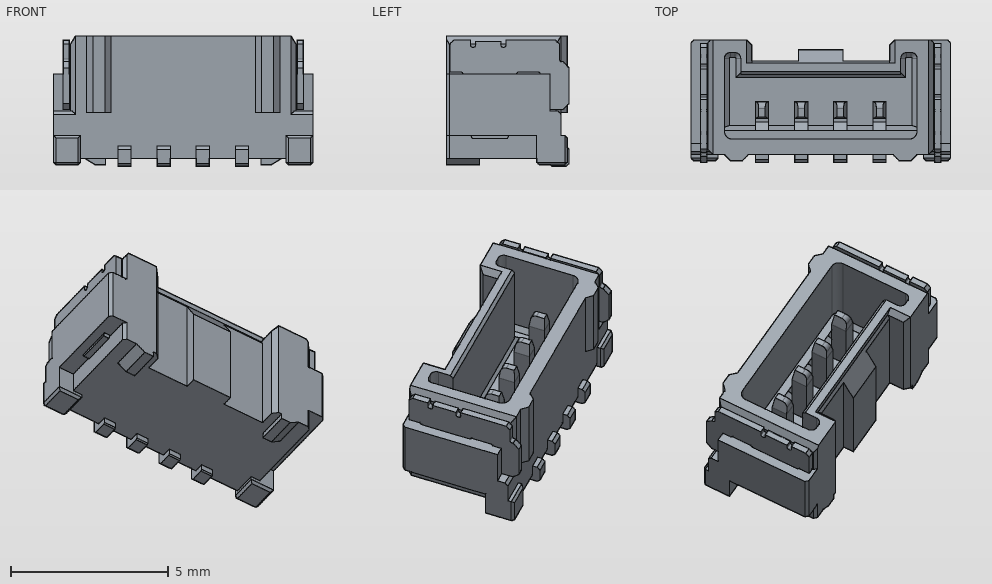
import cadquery as cq
import math


LENGTH = 8.25
DEPTH = 3.9
HEIGHT = 4.15
HALF_LENGTH = LENGTH / 2

BASE_Z = 0.25
FRONT_Y = 0.255
BODY_HALF = 3.59
REAR_CORNER = 0.1
FRONT_CORNER = 0.165
END_BEVEL_X = 0.165
END_BEVEL_Z = 0.26

WING_TOP = 2.945
WING_BOTTOM = 0.99
WING_FRONT_Y = 0.61
WING_STEP_Z = 1.76
WING_STEP_CHAMFER = 0.1

STANDOFF_Z = 0.05
PAD_WIDTH = 0.87
PAD_FRONT_Y = 0.06
PAD_REAR_Y = 1.03
PAD_CHAMFER = 0.08
FOOT_FRONT_Y = 2.85
FOOT_OUTER_X = 3.12
FOOT_TIP_X = 2.8
FOOT_INNER_X = 2.47

RIB_CENTER_X = 2.68
RIB_TIP_WIDTH = 0.38
RIB_DEPTH = 0.2
RIB_BOTTOM_Z = 1.71

GAP_HALF = 2.19
GAP_BEVEL = 0.165
GAP_BEVEL_Z = 0.21
REAR_WALL_TOP_Y = 3.16
REAR_WALL_Y = 3.23
LATCH_SLOPE = math.radians(60)
LATCH_HALF = 0.71
LATCH_Y = 3.59

CAVITY_HALF = 3.06
CAVITY_REAR_Y = 2.8
CAVITY_FRONT_Y = 0.74
CAVITY_CORNER = 0.26
FLOOR_Z = 0.99
FLOOR_CHAMFER = 0.16
REAR_CHAMFER = 0.1
LEDGE_Y = 1.02
LEDGE_HEIGHT = 0.42
SLOT_WIDTH = 0.52
SLOT_END_Y = 3.5
SLOT_CORNER = 0.19

PIN_COUNT = 4
PIN_PITCH = 1.245
PIN_WIDTH = 0.42
PIN_FRONT_Y = 1.4
PIN_REAR_Y = 1.94
PIN_TOP = 3.23
TIP_HEIGHT = 0.43
TIP_INSET_X = 0.11
TIP_INSET_Y = 0.05
TIP_RADIUS = 0.19
TAIL_HEIGHT = 0.64
TAIL_CHAMFER = 0.1
TAIL_REAR_Y = 0.585
TAIL_REAR_CHAMFER = 0.04
GUSSET_FLAT_Y = 1.295
GUSSET_DROP = 0.2

PLATE_THICKNESS = 0.21
PLATE_INNER_X = 3.61
PLATE_TOP = 4.02
PLATE_MID_TOP = 3.97
PLATE_REAR_Y = 3.79
PLATE_CORNER = 0.12
PLATE_FRONT_Y = 0.31
PLATE_HOOK_TOP = 3.33
PLATE_HOOK_Y = 0.2
PLATE_HOOK_CHAMFER = 0.2
PLATE_BOTTOM = 1.81
PLATE_NECK_RADIUS = 0.08
NOTCH_WIDTH = 0.16
NOTCH_REAR_Y = 3.05
NOTCH_FRONT_Y = 2.09
NOTCH_BOTTOM = 3.79
NOTCH_RADIUS = 0.07
WINDOW_HEIGHT = 0.06
WINDOW_TAPER = 0.06
WINDOWS = ((0.91, 1.68), (3.36, 3.88))
LEG_TIP_DROP = 0.1
LEG_TIP_FRONT_Y = 1.91
LEG_TIP_REAR_Y = 3.13
LEG_TIP_TAPER = 0.05

PICK_MARGIN = 0.01


def block(x0, x1, y0, y1, z0, z1):
    """Box between two opposite corners."""
    return cq.Workplane("XY").box(x1 - x0, y1 - y0, z1 - z0, centered=False).translate((x0, y0, z0))


def prism_x(points, x0, x1):
    """Outline of (y, z) points swept from x0 to x1."""
    return cq.Workplane("YZ").polyline(points).close().extrude(x1 - x0).translate((x0, 0, 0))


def prism_y(points, y0, y1):
    """Outline of (x, z) points swept from y0 to y1."""
    return cq.Workplane("XZ").polyline(points).close().extrude(y0 - y1).translate((0, y0, 0))


def prism_z(points, z0, z1):
    """Outline of (x, y) points swept from z0 to z1."""
    return cq.Workplane("XY").polyline(points).close().extrude(z1 - z0).translate((0, 0, z0))


def both_ends(shape):
    """The shape on the -X end together with its mirror image on the +X end."""
    return shape.union(shape.mirror("YZ"))


def make_body():
    """Tall body with chamfered upright corners and beveled top ends."""
    body = block(-BODY_HALF, BODY_HALF, FRONT_Y, DEPTH, BASE_Z, HEIGHT)
    body = body.edges("|Z and <Y").chamfer(FRONT_CORNER)
    body = body.edges("|Z and >Y").chamfer(REAR_CORNER)
    bevel = prism_y(
        [
            (-BODY_HALF, HEIGHT),
            (-BODY_HALF + END_BEVEL_X, HEIGHT),
            (-BODY_HALF, HEIGHT - END_BEVEL_Z),
        ],
        FRONT_Y,
        DEPTH,
    )
    return body.cut(both_ends(bevel))


def make_wing():
    """Side block of the -X end, with a low step in front."""
    inner_x = -BODY_HALF + FRONT_CORNER
    upper = block(-HALF_LENGTH, inner_x, WING_FRONT_Y, DEPTH, WING_BOTTOM, WING_TOP)
    upper = upper.edges("|Z and >Y and <X").chamfer(REAR_CORNER)
    lower = block(-HALF_LENGTH, inner_x, FRONT_Y, PAD_REAR_Y, BASE_Z, WING_STEP_Z)
    lower = lower.edges("|X and <Y and >Z").chamfer(WING_STEP_CHAMFER)
    return upper.union(lower)


def make_pad():
    """Front corner pad that stands on the board."""
    pad = block(
        -HALF_LENGTH, -HALF_LENGTH + PAD_WIDTH, PAD_FRONT_Y, PAD_REAR_Y, STANDOFF_Z, WING_BOTTOM
    )
    return pad.faces("<Y or <Z").edges().chamfer(PAD_CHAMFER)


def make_foot():
    """Rear foot with a slanted outer side."""
    outline = [
        (-FOOT_OUTER_X, BASE_Z),
        (-FOOT_TIP_X, STANDOFF_Z),
        (-FOOT_INNER_X, STANDOFF_Z),
        (-FOOT_INNER_X, BASE_Z),
    ]
    return prism_y(outline, FOOT_FRONT_Y, DEPTH)


def make_front_rib():
    """Upright rib with slanted sides on the front wall."""
    tip_half = RIB_TIP_WIDTH / 2
    base_half = tip_half + RIB_DEPTH
    outline = [
        (-RIB_CENTER_X - base_half, FRONT_Y),
        (-RIB_CENTER_X - tip_half, FRONT_Y - RIB_DEPTH),
        (-RIB_CENTER_X + tip_half, FRONT_Y - RIB_DEPTH),
        (-RIB_CENTER_X + base_half, FRONT_Y),
    ]
    return prism_z(outline, RIB_BOTTOM_Z, HEIGHT)


def make_rear_gap():
    """Space between the towers, with the bevels of the tower edges."""
    top_half = GAP_HALF + GAP_BEVEL
    gap = block(-GAP_HALF, GAP_HALF, REAR_WALL_TOP_Y, DEPTH, BASE_Z, HEIGHT)
    upright_bevel = prism_z(
        [
            (-top_half, DEPTH),
            (top_half, DEPTH),
            (GAP_HALF, DEPTH - GAP_BEVEL),
            (-GAP_HALF, DEPTH - GAP_BEVEL),
        ],
        BASE_Z,
        HEIGHT,
    )
    top_bevel = prism_y(
        [
            (-top_half, HEIGHT),
            (top_half, HEIGHT),
            (GAP_HALF, HEIGHT - GAP_BEVEL_Z),
            (-GAP_HALF, HEIGHT - GAP_BEVEL_Z),
        ],
        REAR_WALL_TOP_Y,
        DEPTH,
    )
    return gap.union(upright_bevel).union(top_bevel)


def make_wall_ramp(half_width, outer_y):
    """Thickening of the rear wall out to outer_y, under a steep slope."""
    slope_top = HEIGHT - GAP_BEVEL_Z
    slope_bottom = slope_top - (outer_y - REAR_WALL_TOP_Y) * math.tan(LATCH_SLOPE)
    outline = [
        (REAR_WALL_TOP_Y, slope_top),
        (outer_y, slope_bottom),
        (outer_y, BASE_Z),
        (REAR_WALL_TOP_Y, BASE_Z),
    ]
    return prism_x(outline, -half_width, half_width)


def make_cavity():
    """Space inside the housing, reaching into both towers."""
    ledge_z = FLOOR_Z + LEDGE_HEIGHT
    slot_inner_x = CAVITY_HALF - SLOT_WIDTH
    chamfer_start_y = CAVITY_REAR_Y - REAR_CHAMFER + FLOOR_CHAMFER

    space = block(-CAVITY_HALF, CAVITY_HALF, CAVITY_FRONT_Y, SLOT_END_Y, FLOOR_Z, HEIGHT)
    space = space.cut(block(-slot_inner_x, slot_inner_x, chamfer_start_y, DEPTH, FLOOR_Z, HEIGHT))
    space = space.edges("|Z and >Y").fillet(SLOT_CORNER)
    space = space.edges("|Z and <Y").fillet(CAVITY_CORNER)
    space = space.faces("<Z").edges().chamfer(FLOOR_CHAMFER)
    space = space.cut(block(-slot_inner_x, slot_inner_x, CAVITY_REAR_Y, DEPTH, FLOOR_Z, HEIGHT))

    rear_wall_bevel = prism_x(
        [
            (CAVITY_REAR_Y, HEIGHT),
            (CAVITY_REAR_Y + REAR_CHAMFER, HEIGHT),
            (CAVITY_REAR_Y, HEIGHT - REAR_CHAMFER),
        ],
        -slot_inner_x,
        slot_inner_x,
    )
    ledge = prism_x(
        [
            (CAVITY_FRONT_Y, FLOOR_Z),
            (LEDGE_Y + FLOOR_CHAMFER, FLOOR_Z),
            (LEDGE_Y, ledge_z),
            (CAVITY_FRONT_Y, ledge_z),
        ],
        -CAVITY_HALF,
        CAVITY_HALF,
    )
    return space.cut(ledge).union(rear_wall_bevel)


def make_contact(x):
    """Upright part of one pin, with its pointed tip and the gusset at its foot."""
    x0 = x - PIN_WIDTH / 2
    x1 = x + PIN_WIDTH / 2
    tip_z = PIN_TOP - TIP_HEIGHT
    ledge_z = FLOOR_Z + LEDGE_HEIGHT
    side_profile = prism_y(
        [
            (x0, BASE_Z),
            (x1, BASE_Z),
            (x1, tip_z),
            (x1 - TIP_INSET_X, PIN_TOP),
            (x0 + TIP_INSET_X, PIN_TOP),
            (x0, tip_z),
        ],
        PIN_FRONT_Y,
        PIN_REAR_Y,
    )
    end_profile = prism_x(
        [
            (PIN_FRONT_Y, BASE_Z),
            (PIN_REAR_Y, BASE_Z),
            (PIN_REAR_Y, tip_z),
            (PIN_REAR_Y - TIP_INSET_Y, PIN_TOP),
            (PIN_FRONT_Y + TIP_INSET_Y, PIN_TOP),
            (PIN_FRONT_Y, tip_z),
        ],
        x0,
        x1,
    )
    end_profile = end_profile.edges("|X and >Z").edges(">Y").fillet(TIP_RADIUS)
    gusset = prism_x(
        [
            (LEDGE_Y, BASE_Z),
            (PIN_FRONT_Y, BASE_Z),
            (PIN_FRONT_Y, ledge_z - GUSSET_DROP),
            (GUSSET_FLAT_Y, ledge_z - GUSSET_DROP),
            (LEDGE_Y, ledge_z),
        ],
        x0,
        x1,
    )
    return side_profile.intersect(end_profile).union(gusset)


def make_tail(x):
    """Solder tail of one pin, leaving the housing at the lower front."""
    x0 = x - PIN_WIDTH / 2
    x1 = x + PIN_WIDTH / 2
    tail = block(x0, x1, 0, TAIL_REAR_Y, 0, TAIL_HEIGHT)
    tail = tail.edges("|X and <Y").chamfer(TAIL_CHAMFER)
    return tail.edges("|X and >Y and <Z").chamfer(TAIL_REAR_CHAMFER)


def make_plate():
    """Hold-down plate of the -X end, set into the wing."""
    plate_x0 = -PLATE_INNER_X - PLATE_THICKNESS
    plate_x1 = -PLATE_INNER_X
    outline = [
        (PLATE_REAR_Y, WING_BOTTOM),
        (PLATE_REAR_Y, PLATE_TOP - PLATE_CORNER),
        (PLATE_REAR_Y - PLATE_CORNER, PLATE_TOP),
        (PLATE_FRONT_Y + PLATE_CORNER, PLATE_TOP),
        (PLATE_FRONT_Y, PLATE_TOP - PLATE_CORNER),
        (PLATE_FRONT_Y, PLATE_HOOK_TOP),
        (PLATE_HOOK_Y, PLATE_HOOK_TOP),
        (0, PLATE_HOOK_TOP - PLATE_HOOK_CHAMFER),
        (0, PLATE_BOTTOM + PLATE_HOOK_CHAMFER),
        (PLATE_HOOK_Y, PLATE_BOTTOM),
        (WING_FRONT_Y, PLATE_BOTTOM),
        (WING_FRONT_Y, WING_BOTTOM),
    ]
    plate = prism_x(outline, plate_x0, plate_x1)
    neck = cq.selectors.BoxSelector(
        (plate_x0, PLATE_FRONT_Y - PICK_MARGIN, PLATE_HOOK_TOP - PICK_MARGIN),
        (plate_x1, PLATE_FRONT_Y + PICK_MARGIN, PLATE_HOOK_TOP + PICK_MARGIN),
    )
    plate = plate.edges(neck).fillet(PLATE_NECK_RADIUS)

    half_notch = NOTCH_WIDTH / 2
    cuts = block(plate_x0, plate_x1, NOTCH_FRONT_Y, NOTCH_REAR_Y, PLATE_MID_TOP, PLATE_TOP)
    for y in (NOTCH_FRONT_Y, NOTCH_REAR_Y):
        notch = block(plate_x0, plate_x1, y - half_notch, y + half_notch, NOTCH_BOTTOM, HEIGHT)
        cuts = cuts.union(notch.edges("|X and <Z").fillet(NOTCH_RADIUS))
    for front_y, rear_y in WINDOWS:
        cuts = cuts.union(
            prism_x(
                [
                    (front_y, WING_TOP),
                    (rear_y, WING_TOP),
                    (rear_y - WINDOW_TAPER, WING_TOP + WINDOW_HEIGHT),
                    (front_y + WINDOW_TAPER, WING_TOP + WINDOW_HEIGHT),
                ],
                plate_x0,
                plate_x1,
            )
        )

    leg_tip = prism_x(
        [
            (LEG_TIP_FRONT_Y, WING_BOTTOM),
            (LEG_TIP_FRONT_Y + LEG_TIP_TAPER, WING_BOTTOM - LEG_TIP_DROP),
            (LEG_TIP_REAR_Y - LEG_TIP_TAPER, WING_BOTTOM - LEG_TIP_DROP),
            (LEG_TIP_REAR_Y, WING_BOTTOM),
        ],
        plate_x0,
        plate_x1,
    )
    return plate.cut(cuts).union(leg_tip)


housing = make_body().union(both_ends(make_wing()))
housing = housing.cut(make_rear_gap())
housing = housing.union(make_wall_ramp(GAP_HALF, REAR_WALL_Y))
housing = housing.union(make_wall_ramp(LATCH_HALF, LATCH_Y))
housing = housing.union(both_ends(make_pad()))
housing = housing.union(both_ends(make_foot()))
housing = housing.union(both_ends(make_front_rib()))
housing = housing.cut(make_cavity())

result = housing.union(both_ends(make_plate()))

for index in range(PIN_COUNT):
    pin_x = (index - (PIN_COUNT - 1) / 2) * PIN_PITCH
    result = result.union(make_contact(pin_x)).union(make_tail(pin_x))